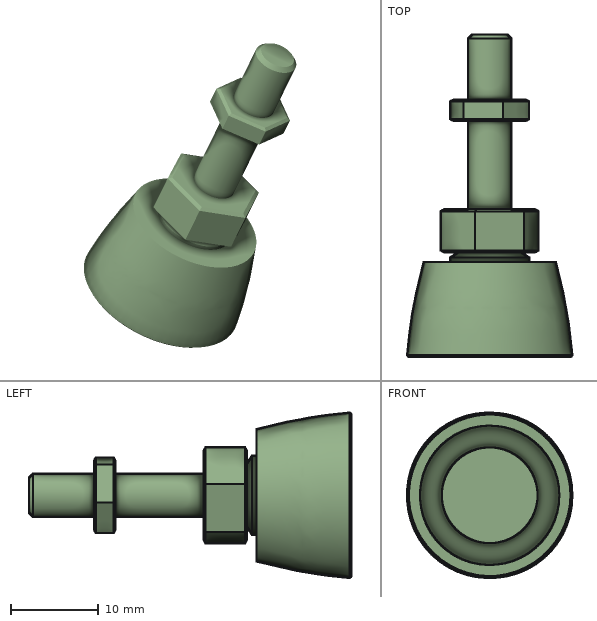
import cadquery as cq
import math

TOTAL_LENGTH = 37.0

FOOT_HEIGHT = 10.9
FOOT_BASE_RADIUS = 18.98 / 2
FOOT_TOP_RADIUS = 7.6
FOOT_MID_RADIUS = 8.8
FOOT_RIM_CHAMFER = 0.22
CAVITY_DIAMETER = 16.0
CAVITY_DEPTH = 4.0
BOSS_DIAMETER = 11.0
BOSS_RECESS = 0.7

COLLAR_HEIGHT = 1.07
COLLAR_STRAIGHT_HEIGHT = 0.48
COLLAR_RADIUS = 4.55
COLLAR_TOP_RADIUS = 3.65

HEX_ACROSS_FLATS = 10.0
HEX_THICKNESS = 5.0
HEX_ROTATION = -13.2
HEX_CHAMFER_HEIGHT = 0.25
HEX_CHAMFER_WIDTH = 0.45

STUD_DIAMETER = 5.0
STUD_TIP_CHAMFER = 0.48

NUT_ACROSS_FLATS = 8.0
NUT_THICKNESS = 2.45
NUT_TO_TIP = 7.47
NUT_ROTATION = 10.6
NUT_CHAMFER_HEIGHT = 0.22
NUT_CHAMFER_WIDTH = 0.37

hex_base = FOOT_HEIGHT + COLLAR_HEIGHT
hex_top = hex_base + HEX_THICKNESS
nut_base = TOTAL_LENGTH - NUT_TO_TIP - NUT_THICKNESS


def plane_at(y):
    """Plane across the axis at height y, with local x along X and its normal along +Y."""
    return cq.Plane(origin=(0, y, 0), xDir=(1, 0, 0), normal=(0, 1, 0))


def cylinder(diameter, base, top):
    return cq.Workplane(plane_at(base)).circle(diameter / 2).extrude(top - base)


def hexagon(across_flats, base, thickness, rotation, chamfer_height, chamfer_width):
    """Hexagonal prism with bevelled edges on both end faces."""
    corner_diameter = across_flats / math.cos(math.radians(30))
    taper = math.degrees(math.atan2(chamfer_width, chamfer_height))
    middle = (
        cq.Workplane("XY")
        .workplane(offset=chamfer_height)
        .polygon(6, corner_diameter)
        .extrude(thickness - 2 * chamfer_height)
    )
    upper = (
        middle.faces(">Z").workplane().polygon(6, corner_diameter)
        .extrude(chamfer_height, taper=taper, combine=False)
    )
    lower = upper.mirror("XY", (0, 0, thickness / 2))
    body = middle.union(upper).union(lower)
    return (
        body.rotate((0, 0, 0), (0, 0, 1), -rotation)
        .rotate((0, 0, 0), (1, 0, 0), -90)
        .translate((0, base, 0))
    )


def make_foot():
    """Bulged cup with its collar, and a boss standing in its cavity."""
    shell = (
        cq.Workplane("XY")
        .lineTo(FOOT_BASE_RADIUS - FOOT_RIM_CHAMFER, 0)
        .lineTo(FOOT_BASE_RADIUS, FOOT_RIM_CHAMFER)
        .threePointArc((FOOT_MID_RADIUS, FOOT_HEIGHT / 2), (FOOT_TOP_RADIUS, FOOT_HEIGHT))
        .lineTo(COLLAR_RADIUS, FOOT_HEIGHT)
        .lineTo(COLLAR_RADIUS, FOOT_HEIGHT + COLLAR_STRAIGHT_HEIGHT)
        .lineTo(COLLAR_TOP_RADIUS, hex_base)
        .lineTo(0, hex_base)
        .close()
        .revolve(360, (0, 0, 0), (0, 1, 0))
    )
    cavity = cylinder(CAVITY_DIAMETER, 0, CAVITY_DEPTH)
    boss = cylinder(BOSS_DIAMETER, BOSS_RECESS, CAVITY_DEPTH)
    return shell.cut(cavity).union(boss)


def make_spindle():
    """Foot, fixed hexagon and stud in one piece."""
    fixed_hex = hexagon(
        HEX_ACROSS_FLATS, hex_base, HEX_THICKNESS, HEX_ROTATION, HEX_CHAMFER_HEIGHT, HEX_CHAMFER_WIDTH
    )
    stud = cylinder(STUD_DIAMETER, hex_top, TOTAL_LENGTH).faces(">Y").chamfer(STUD_TIP_CHAMFER)
    return make_foot().union(fixed_hex).union(stud)


def make_lock_nut():
    blank = hexagon(
        NUT_ACROSS_FLATS, nut_base, NUT_THICKNESS, NUT_ROTATION, NUT_CHAMFER_HEIGHT, NUT_CHAMFER_WIDTH
    )
    return blank.cut(cylinder(STUD_DIAMETER, nut_base, nut_base + NUT_THICKNESS))


spindle = make_spindle()
lock_nut = make_lock_nut()

result = cq.Compound.makeCompound([spindle.val(), lock_nut.val()])